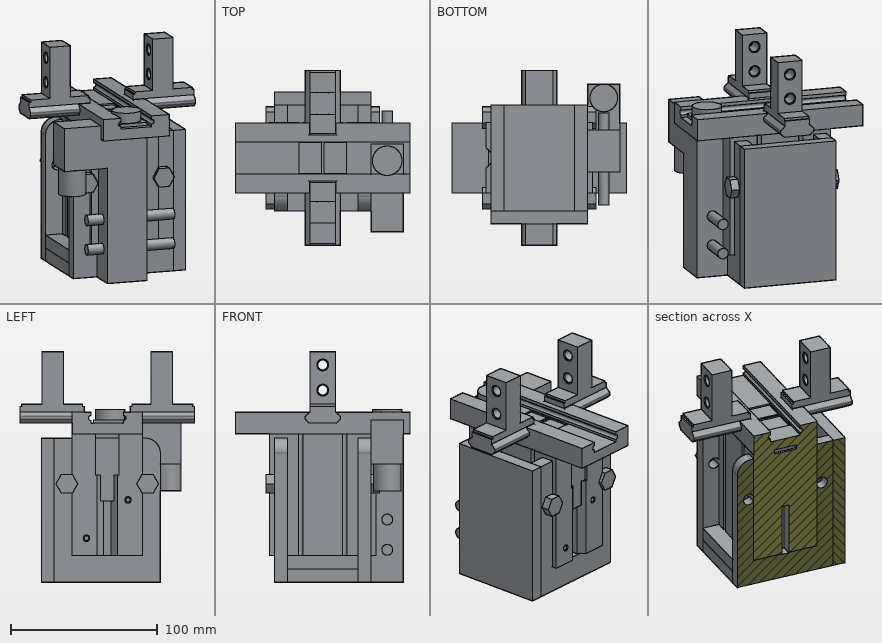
import cadquery as cq
import math

RAIL_LENGTH = 119.0
RAIL_WIDTH = 47.7
RAIL_TOP = 115.9
RAIL_HEIGHT = 14.9
RAIL_BOTTOM = RAIL_TOP - RAIL_HEIGHT
CHANNEL_WIDTH = 22.0
CHANNEL_FLOOR = 108.3
CHANNEL_GROOVE_DIAMETER = 3.5
CHANNEL_GROOVE_Z = 111.8
FLOOR_POCKET_LENGTH = 15.5
FLOOR_POCKET_WIDTH = 20.9
FLOOR_POCKET_GAP = 1.4
FLOOR_POCKET_DEPTH = 1.1

JAW_REACH = 59.5
JAW_LENGTH = 44.0
JAW_INNER = JAW_REACH - JAW_LENGTH
JAW_WIDTH = 17.6
JAW_BOTTOM = CHANNEL_FLOOR
JAW_TOP = 121.2
JAW_STEP_WIDTH = 1.3
JAW_STEP_HEIGHT = 1.5
WING_WIDTH = 23.9
WING_BOTTOM = 111.0
WING_TOP = 112.9
WING_FILLET = 0.5
FINGER_THICKNESS = 14.8
FINGER_Y = 37.0
FINGER_TOP = 157.0
FINGER_HOLE_DIAMETER = 6.8
FINGER_HOLE_CHAMFER = 0.6
FINGER_HOLE_HEIGHTS = (130.8, 147.9)

PLATE_THICKNESS = 9.1
FRAME_WIDTH = 66.0
FRAME_DEPTH = 72.2
FRAME_HEIGHT = 98.1
BACK_THICKNESS = 8.8
CORNER_RADIUS = 10.2
INNER_WIDTH = FRAME_WIDTH - 2 * PLATE_THICKNESS

HOUSING_LENGTH = 72.5
HOUSING_WIDTH = 48.0
HOUSING_BOTTOM = 2 * PLATE_THICKNESS
HOUSING_END = HOUSING_LENGTH / 2
SENSOR_GROOVE_DIAMETER = 3.1
SENSOR_GROOVE_X = 14.9
SLOT_MOUTH_WIDTH = 14.0
SLOT_WIDTH = 5.0
SLOT_DEPTH = 12.5
SLIDE_WIDTH = 16.2
SLIDE_BOTTOM = 73.0
SLIDE_TOP = 98.1
SLIDE_RECESS = 1.9
SLIDE_TAIL_WIDTH = 9.1
SLIDE_TAIL_BOTTOM = 55.3
ABOVE_SLIDE_RECESS = 6.3
PORT_DIAMETER = 3.1
PORT_CHAMFER = 0.6
PORT_DEPTH = 9.4
PORT_Y = 14.1
PORT_HEIGHTS = {1: 30.0, -1: 56.0}

HEX_ACROSS_FLATS = 12.9
HEX_HEIGHT = 5.7
HEX_Y = 27.5
HEX_Z = 67.0
BOLT_HOLE_DIAMETER = 7.8

BRACKET_INNER = FRAME_WIDTH / 2
BRACKET_WIDTH = 21.8
BRACKET_X = BRACKET_INNER + BRACKET_WIDTH / 2
BRACKET_FRONT = -19.2
BRACKET_BACK = 9.4
BRACKET_TOP = 110.5
BLOCK_FRONT = -50.2
BLOCK_BOTTOM = 80.5
BARREL_DIAMETER = 18.8
BARREL_BOTTOM = 62.2
KNOB_DIAMETER = 20.1
KNOB_Y = -1.9
KNOB_TOP = 117.6
PIN_DIAMETER = 7.4
PIN_FRONT = -30.5
PIN_BACK = 32.0
PIN_HEIGHTS = (22.1, 42.7)


def box(x_range, y_range, z_range):
    """Box between the given limits along each axis."""
    (x0, x1), (y0, y1), (z0, z1) = x_range, y_range, z_range
    return cq.Workplane("XY").box(x1 - x0, y1 - y0, z1 - z0, centered=False).translate((x0, y0, z0))


def centered(width):
    """Limits of a width centred on zero."""
    return (-width / 2, width / 2)


def upright_cylinder(x, y, diameter, bottom, top):
    return cq.Workplane("XY", origin=(x, y, bottom)).circle(diameter / 2).extrude(top - bottom)


def cylinder_along_x(x0, x1, y, z, diameter):
    return cq.Workplane("YZ", origin=(x0, y, z)).circle(diameter / 2).extrude(x1 - x0)


def cylinder_along_y(x, y0, y1, z, diameter):
    return cq.Workplane("XZ", origin=(x, y1, z)).circle(diameter / 2).extrude(y1 - y0)


def jaw_foot():
    """Winged bar from the inner end to the outer end of the +Y jaw."""
    half = JAW_WIDTH / 2
    wing = WING_WIDTH / 2
    slope = wing - half
    right = [
        (half, JAW_TOP),
        (half, WING_TOP + slope),
        (wing, WING_TOP),
        (wing, WING_BOTTOM),
        (wing - (WING_BOTTOM - JAW_BOTTOM), JAW_BOTTOM),
    ]
    left = [(-x, z) for x, z in reversed(right)]
    foot = cq.Workplane("XZ", origin=(0, JAW_REACH, 0)).polyline(right + left).close().extrude(JAW_LENGTH)
    return foot.faces("<X or >X").edges("|Y").fillet(WING_FILLET)


def jaw():
    """Jaw on the +Y side."""
    body = jaw_foot()
    step_z = (JAW_TOP - JAW_STEP_HEIGHT, JAW_TOP)
    for step_y in ((JAW_INNER, JAW_INNER + JAW_STEP_WIDTH), (JAW_REACH - JAW_STEP_WIDTH, JAW_REACH)):
        body = body.cut(box(centered(JAW_WIDTH), step_y, step_z))
    finger_y = (FINGER_Y - FINGER_THICKNESS / 2, FINGER_Y + FINGER_THICKNESS / 2)
    finger = box(centered(JAW_WIDTH), finger_y, (JAW_TOP, FINGER_TOP))
    for z in FINGER_HOLE_HEIGHTS:
        finger = finger.cut(cylinder_along_y(0, *finger_y, z, FINGER_HOLE_DIAMETER))
    finger = finger.edges("%CIRCLE").chamfer(FINGER_HOLE_CHAMFER)
    return body.union(finger).clean()


def rail():
    body = box(centered(RAIL_LENGTH), centered(RAIL_WIDTH), (RAIL_BOTTOM, RAIL_TOP))
    body = body.cut(box(centered(RAIL_LENGTH), centered(CHANNEL_WIDTH), (CHANNEL_FLOOR, RAIL_TOP)))
    for side in (-1, 1):
        groove_y = side * CHANNEL_WIDTH / 2
        groove = cylinder_along_x(*centered(RAIL_LENGTH), groove_y, CHANNEL_GROOVE_Z, CHANNEL_GROOVE_DIAMETER)
        body = body.cut(groove)
        near = FLOOR_POCKET_GAP / 2
        x_range = sorted((side * near, side * (near + FLOOR_POCKET_LENGTH)))
        pocket_z = (CHANNEL_FLOOR - FLOOR_POCKET_DEPTH, CHANNEL_FLOOR)
        body = body.cut(box(x_range, centered(FLOOR_POCKET_WIDTH), pocket_z))
    return body


def slot_prism():
    """Slot down the -X end: a 45 degree mouth leading into a narrow groove."""
    mouth = SLOT_MOUTH_WIDTH / 2
    half = SLOT_WIDTH / 2
    throat_x = -HOUSING_END + mouth - half
    outline = [
        (-HOUSING_END, mouth),
        (throat_x, half),
        (-HOUSING_END + SLOT_DEPTH, half),
        (-HOUSING_END + SLOT_DEPTH, -half),
        (throat_x, -half),
        (-HOUSING_END, -mouth),
    ]
    height = SLIDE_BOTTOM - HOUSING_BOTTOM
    return cq.Workplane("XY", origin=(0, 0, HOUSING_BOTTOM)).polyline(outline).close().extrude(height)


def end_cuts():
    """Everything removed from the -X end of the housing, apart from the ports."""
    slide_face = -HOUSING_END + SLIDE_RECESS
    tail_x = (slide_face, -HOUSING_END + SLOT_DEPTH)
    tail = box(tail_x, centered(SLIDE_TAIL_WIDTH), (SLIDE_TAIL_BOTTOM, SLIDE_BOTTOM))
    recess = box((-HOUSING_END, slide_face), centered(SLIDE_WIDTH), (SLIDE_BOTTOM, RAIL_BOTTOM))
    above_x = (-HOUSING_END, -HOUSING_END + ABOVE_SLIDE_RECESS)
    above = box(above_x, centered(SLIDE_WIDTH), (SLIDE_TOP, RAIL_BOTTOM))
    return slot_prism().cut(tail).union(recess).union(above)


def port_cut(y, z):
    """Small chamfered blind hole in the -X end of the housing."""
    hole = cylinder_along_x(-HOUSING_END, -HOUSING_END + PORT_DEPTH, y, z, PORT_DIAMETER)
    mouth = (
        cq.Workplane("YZ", origin=(-HOUSING_END, y, z))
        .circle(PORT_DIAMETER / 2 + PORT_CHAMFER)
        .workplane(offset=PORT_CHAMFER)
        .circle(PORT_DIAMETER / 2)
        .loft()
    )
    return hole.union(mouth)


def housing():
    body = box(centered(HOUSING_LENGTH), centered(HOUSING_WIDTH), (HOUSING_BOTTOM, RAIL_BOTTOM))
    for x in (-SENSOR_GROOVE_X, SENSOR_GROOVE_X):
        for y in centered(HOUSING_WIDTH):
            body = body.cut(upright_cylinder(x, y, SENSOR_GROOVE_DIAMETER, HOUSING_BOTTOM, RAIL_BOTTOM))
    cuts = end_cuts()
    body = body.cut(cuts).cut(cuts.mirror("YZ"))
    for side, z in PORT_HEIGHTS.items():
        body = body.cut(port_cut(side * PORT_Y, z))
    return body


def hex_head(x_side, y_side):
    x0 = FRAME_WIDTH / 2 if x_side > 0 else -FRAME_WIDTH / 2 - HEX_HEIGHT
    across_corners = HEX_ACROSS_FLATS / math.cos(math.pi / 6)
    return cq.Workplane("YZ", origin=(x0, y_side * HEX_Y, HEX_Z)).polygon(6, across_corners).extrude(HEX_HEIGHT)


def bracket():
    x_range = (BRACKET_INNER, BRACKET_INNER + BRACKET_WIDTH)
    body = box(x_range, (BRACKET_FRONT, BRACKET_BACK), (0, BRACKET_TOP))
    body = body.union(box(x_range, (BLOCK_FRONT, BRACKET_FRONT), (BLOCK_BOTTOM, BRACKET_TOP)))
    barrel_y = BLOCK_FRONT + BARREL_DIAMETER / 2
    body = body.union(upright_cylinder(BRACKET_X, barrel_y, BARREL_DIAMETER, BARREL_BOTTOM, BLOCK_BOTTOM))
    body = body.union(upright_cylinder(BRACKET_X, KNOB_Y, KNOB_DIAMETER, BRACKET_TOP, KNOB_TOP))
    for z in PIN_HEIGHTS:
        body = body.union(cylinder_along_y(BRACKET_X, PIN_FRONT, PIN_BACK, z, PIN_DIAMETER))
    return body


def gripper(jaws):
    body = rail()
    for seated_jaw in jaws:
        body = body.cut(seated_jaw)
    body = body.union(housing()).union(bracket())
    for x_side in (-1, 1):
        for y_side in (-1, 1):
            body = body.union(hex_head(x_side, y_side))
    return body


def side_plate():
    """Side plate at -X, slotted from above to hold the housing."""
    x_range = (-FRAME_WIDTH / 2, -INNER_WIDTH / 2)
    plate = box(x_range, centered(FRAME_DEPTH), (0, FRAME_HEIGHT))
    plate = plate.edges("|X and <Y and >Z").fillet(CORNER_RADIUS)
    plate = plate.cut(box(x_range, centered(HOUSING_WIDTH), (HOUSING_BOTTOM, FRAME_HEIGHT)))
    for y in (-HEX_Y, HEX_Y):
        plate = plate.cut(cylinder_along_x(*x_range, y, HEX_Z, BOLT_HOLE_DIAMETER))
    return plate


def floor_plate(level):
    """Plate between the side plates; level 0 is the lower of the two."""
    bottom = level * PLATE_THICKNESS
    return box(centered(INNER_WIDTH), centered(FRAME_DEPTH), (bottom, bottom + PLATE_THICKNESS))


def back_plate():
    back = FRAME_DEPTH / 2
    return box(centered(FRAME_WIDTH), (back, back + BACK_THICKNESS), (0, FRAME_HEIGHT))


back_jaw = jaw()
jaws = [back_jaw, back_jaw.mirror("XZ")]
gripper_body = gripper(jaws)
left_plate = side_plate()
side_plates = [left_plate, left_plate.mirror("YZ")]
floor_plates = [floor_plate(level) for level in range(2)]

bodies = [gripper_body, *jaws, *side_plates, *floor_plates, back_plate()]
result = cq.Compound.makeCompound([body.val() for body in bodies])